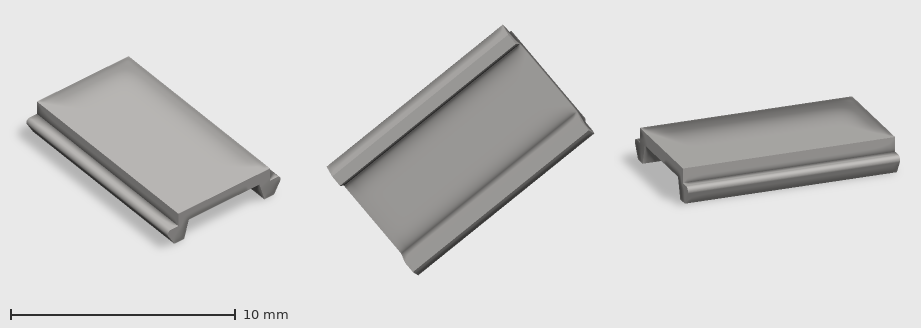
import cadquery as cq
import math

length = 10.15
width = 6.4
height = 1.6

plate_width = 5.2
plate_thickness = 0.62

ledge_drop = 0.7
edge_radius = 0.2
flank_radius = 0.15
flank_angle = 30.0
foot_inner_width = 4.55
channel_top_width = 4.0

half_width = width / 2
half_plate = plate_width / 2
half_foot_inner = foot_inner_width / 2
half_channel_top = channel_top_width / 2

bottom = -height / 2
top = height / 2
ledge = top - ledge_drop
channel_roof = top - plate_thickness
widest_line = ledge - edge_radius

flank_slope = math.radians(flank_angle)
flank_top_y = half_width - flank_radius * (1 - math.cos(flank_slope))
flank_top_z = widest_line - flank_radius * math.sin(flank_slope)
half_foot_outer = flank_top_y - (flank_top_z - bottom) * math.tan(flank_slope)

half_section = (
    cq.Workplane("YZ")
    .moveTo(0, top)
    .lineTo(half_plate, top)
    .lineTo(half_plate, ledge)
    .lineTo(half_width - edge_radius, ledge)
    .radiusArc((half_width, widest_line), edge_radius)
    .radiusArc((flank_top_y, flank_top_z), flank_radius)
    .lineTo(half_foot_outer, bottom)
    .lineTo(half_foot_inner, bottom)
    .lineTo(half_channel_top, channel_roof)
    .lineTo(0, channel_roof)
    .close()
)

half_part = half_section.extrude(length / 2, both=True)
result = half_part.union(half_part.mirror("XZ")).clean()